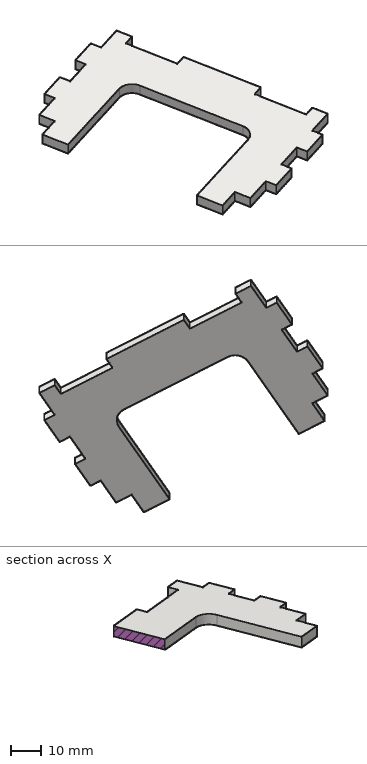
import cadquery as cq

thickness = 4.0
tab_depth = thickness
body_width = 82.0
body_length = 50.0

leg_width = 10.0
leg_extension = 8.0
opening_width = 50.0
opening_corner_radius = 5.0
back_bar_width = 20.0

side_tab_length = 10.0
side_tab_offsets = (10.0, 30.0)
back_notch_width = 20.0
back_tab_width = 30.0

total_length = body_length + leg_extension
back_y = total_length / 2
front_y = -total_length / 2
legs_outer_width = opening_width + 2 * leg_width
overall_width = body_width + 2 * tab_depth
back_notch_center_x = (back_tab_width + back_notch_width) / 2


def block(width, center_x, y_min, y_max):
    """Full-thickness block centred on center_x and spanning y_min to y_max."""
    length = y_max - y_min
    center_y = (y_min + y_max) / 2
    return cq.Workplane("XY").box(width, length, thickness).translate((center_x, center_y, 0))


def plate_with_leg_ends():
    body = block(body_width, 0, back_y - body_length, back_y)
    return body.union(block(legs_outer_width, 0, front_y, back_y))


def add_side_tabs(plate):
    """Each strip crosses the plate and forms a matching tab on both sides."""
    for offset in side_tab_offsets:
        tab_back_y = back_y - offset
        plate = plate.union(block(overall_width, 0, tab_back_y - side_tab_length, tab_back_y))
    return plate


def cut_back_notches(plate):
    for side in (-1, 1):
        plate = plate.cut(block(back_notch_width, side * back_notch_center_x, back_y - tab_depth, back_y))
    return plate


def cut_opening(plate):
    """Opening between the legs, with its two inner corners rounded."""
    opening = block(opening_width, 0, front_y, back_y - back_bar_width)
    opening = opening.edges("|Z and >Y").fillet(opening_corner_radius)
    return plate.cut(opening)


plate = plate_with_leg_ends()
plate = add_side_tabs(plate)
plate = cut_back_notches(plate)
plate = cut_opening(plate)
result = plate.clean()